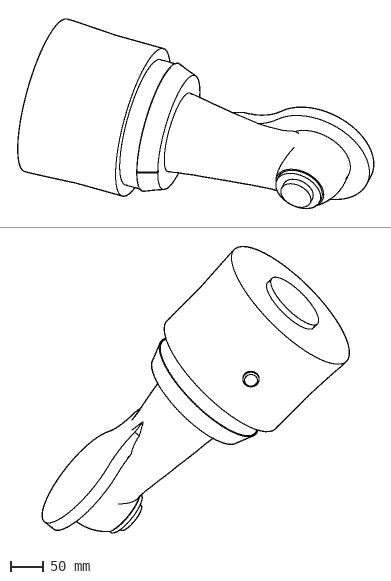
import cadquery as cq
import math

cap_radius = 100.0 / 2
cap_length = 9.5
rim_radius = 246.0 / 2
rim_end = 18.0
drum_radius = 238.0 / 2
taper_end = 92.5
drum_end = 171.0
neck_radius = 202.0 / 2
collar_start = 200.0
collar_large_radius = 103.0
collar_small_radius = 92.0
collar_end = 230.5

split_width = 2.5
split_depth = 2.5

plug_radius = 25.0 / 2
plug_x = 101.5
plug_bottom = -124.5
plug_chamfer = 2.5

total_length = 537
plate_radius = 89.0
hub_x = total_length - plate_radius
plate_back = 45.0
plate_front = 26.0
flank_radius = 86
flank_reach = 127.0
tail_end_x = 303.0
tail_end_z = 28.0
hub_radius = 57.5
hub_straight_end = 15.5
hub_shoulder = (50.0, -27.5)
hub_tip_radius = 40.0
hub_tip = -43.5
washer_radius = 74.5 / 2
washer_tip = -50.5
pin_radius = 50.0 / 2
pin_tip = -60.5

arm_sections = [
    (collar_end, 0, 63.5, 63.5),
    (284.5, -1.0, 56.5, 55.5),
    (338.5, -2.0, 49.0, 50.5),
    (394.0, 0.5, 44.0, 50.0),
]
shoulder_section = (hub_x, 8.5, 51.0, hub_radius)


def make_housing():
    profile = [
        (0, 0),
        (0, cap_radius),
        (cap_length, cap_radius),
        (cap_length, rim_radius),
        (rim_end, rim_radius),
        (taper_end, drum_radius),
        (drum_end, drum_radius),
        (drum_end, neck_radius),
        (collar_start, neck_radius),
        (collar_start, collar_large_radius),
        (collar_end, collar_small_radius),
        (collar_end, 0),
    ]
    housing = cq.Workplane("XY").polyline(profile).close().revolve(360, (0, 0), (1, 0))
    groove = (
        cq.Workplane("XY")
        .polyline([
            (collar_start, -collar_large_radius - split_depth),
            (collar_end, -collar_small_radius - split_depth),
            (collar_end, -collar_small_radius + split_depth),
            (collar_start, -collar_large_radius + split_depth),
        ])
        .close()
        .extrude(split_width / 2, both=True)
    )
    return housing.cut(groove)


def make_plug():
    return (
        cq.Workplane("XY", origin=(plug_x, 0, plug_bottom))
        .circle(plug_radius)
        .extrude(drum_radius - neck_radius)
        .faces("<Z")
        .chamfer(plug_chamfer)
    )


def loft_sections(sections, ruled):
    wires = [
        cq.Workplane("YZ", origin=(x, y, 0)).ellipse(half_y, half_z).val()
        for x, y, half_y, half_z in sections
    ]
    return cq.Workplane(cq.Solid.makeLoft(wires, ruled))


def make_arm():
    arm = loft_sections(arm_sections, ruled=False)
    shoulder = loft_sections([arm_sections[-1], shoulder_section], ruled=True)
    keep = cq.Workplane("XY").box(total_length, total_length, total_length)
    keep = keep.translate((total_length / 2, plate_back - total_length / 2, 0))
    return arm.union(shoulder.intersect(keep))


def make_plate():
    tangent_angle = math.acos(flank_reach / (plate_radius + flank_radius))
    tangent_x = hub_x - plate_radius * math.cos(tangent_angle)
    tangent_z = plate_radius * math.sin(tangent_angle)
    tail_x = hub_x - flank_reach
    flank_centre_z = (plate_radius + flank_radius) * math.sin(tangent_angle)
    tail_z = flank_centre_z - flank_radius
    middle_angle = (tangent_angle + math.pi / 2) / 2
    middle_x = tail_x + flank_radius * math.cos(middle_angle)
    middle_z = flank_centre_z - flank_radius * math.sin(middle_angle)
    return (
        cq.Workplane("XZ", origin=(0, plate_back, 0))
        .moveTo(tail_end_x, tail_end_z)
        .lineTo(tail_x, tail_z)
        .threePointArc((middle_x, middle_z), (tangent_x, tangent_z))
        .threePointArc((total_length, 0), (tangent_x, -tangent_z))
        .threePointArc((middle_x, -middle_z), (tail_x, -tail_z))
        .lineTo(tail_end_x, -tail_end_z)
        .close()
        .extrude(plate_back - plate_front)
    )


def make_hub():
    profile = (
        cq.Workplane("XY")
        .moveTo(0, plate_back)
        .lineTo(hub_radius, plate_back)
        .lineTo(hub_radius, hub_straight_end)
        .threePointArc(hub_shoulder, (hub_tip_radius, hub_tip))
        .lineTo(washer_radius, hub_tip)
        .lineTo(washer_radius, washer_tip)
        .lineTo(pin_radius, washer_tip)
        .lineTo(pin_radius, pin_tip)
        .lineTo(0, pin_tip)
        .close()
    )
    return profile.revolve(360, (0, 0), (0, 1)).translate((hub_x, 0, 0))


housing = make_housing().union(make_plug())
result = housing.union(make_arm()).union(make_plate()).union(make_hub())